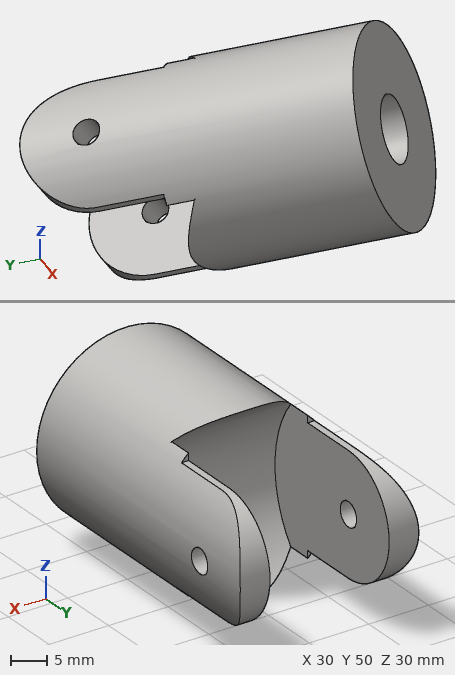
import cadquery as cq

length = 50.0
body_diameter = 30.0
ear_width = 20.0
ear_gap = 20.0
pin_diameter = 4.0
socket_diameter = 10.0
socket_depth = 5.0
socket_drop = 0.4

body_radius = body_diameter / 2
ear_radius = ear_width / 2
pin_y = length - ear_radius
shoulder_y = pin_y - ear_radius
scoop_radius = (body_radius**2 + (pin_y - shoulder_y) ** 2) ** 0.5


def bar_along_x(diameter, width):
    """Round bar on the pin axis, centred on X = 0."""
    return cq.Workplane("YZ").center(pin_y, 0).circle(diameter / 2).extrude(width / 2, both=True)


def bar_along_y(diameter, bar_length, z=0):
    """Round bar starting at the plain end face, Y = 0."""
    return cq.Workplane("XZ").center(0, z).circle(diameter / 2).extrude(-bar_length)


side_profile = (
    cq.Workplane("YZ")
    .moveTo(0, -body_radius)
    .lineTo(shoulder_y, -body_radius)
    .lineTo(shoulder_y, -ear_radius)
    .lineTo(pin_y, -ear_radius)
    .threePointArc((length, 0), (pin_y, ear_radius))
    .lineTo(shoulder_y, ear_radius)
    .lineTo(shoulder_y, body_radius)
    .lineTo(0, body_radius)
    .close()
    .extrude(body_radius, both=True)
)
body = bar_along_y(body_diameter, length).intersect(side_profile)

slot = bar_along_x(2 * scoop_radius, ear_gap)
pin_hole = bar_along_x(pin_diameter, body_diameter)
socket = bar_along_y(socket_diameter, socket_depth, -socket_drop)

result = body.cut(slot).cut(pin_hole).cut(socket)